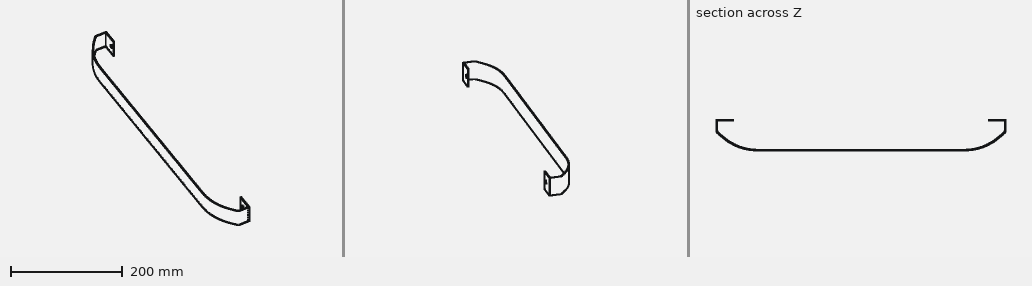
import cadquery as cq
import math

LENGTH = 519.0
DEPTH = 56.0
HEIGHT = 35.0
THICKNESS = 2.0

FLANGE_LENGTH = 30.0
HOLE_DIAMETER = 6.5
HOLE_FROM_FREE_END = 8.0

SHOULDER_RADIUS = 95.0
SHOULDER_ANGLE = math.radians(40.6)
FRONT_BAR_LENGTH = 371.5
CORNER_BEND_RADIUS = 5.0

half_length = LENGTH / 2
half_bar = FRONT_BAR_LENGTH / 2
flange_tip_x = half_length - FLANGE_LENGTH


def half_outline(inset):
    """Points from the flange tip to the front bar on +X, offset inward by inset."""
    radius = SHOULDER_RADIUS - inset
    wall_x = half_length - inset
    front_y = -DEPTH + inset

    def on_shoulder(angle):
        x = half_bar + radius * math.sin(angle)
        y = front_y + radius * (1 - math.cos(angle))
        return (x, y)

    shoulder_start = on_shoulder(SHOULDER_ANGLE)
    shoulder_middle = on_shoulder(SHOULDER_ANGLE / 2)
    corner_y = shoulder_start[1] + (wall_x - shoulder_start[0]) * math.tan(SHOULDER_ANGLE)
    return {
        "flange_tip": (flange_tip_x, -inset),
        "flange_corner": (wall_x, -inset),
        "wall_corner": (wall_x, corner_y),
        "shoulder_start": shoulder_start,
        "shoulder_middle": shoulder_middle,
        "bar_end": (half_bar, front_y),
    }


def mirrored(point):
    return (-point[0], point[1])


def make_strip():
    """Sharp-cornered strip, extruded symmetrically about Z = 0."""
    outer = half_outline(0)
    inner = half_outline(THICKNESS)
    return (
        cq.Workplane("XY")
        .moveTo(*outer["flange_tip"])
        .lineTo(*outer["flange_corner"])
        .lineTo(*outer["wall_corner"])
        .lineTo(*outer["shoulder_start"])
        .threePointArc(outer["shoulder_middle"], outer["bar_end"])
        .lineTo(*mirrored(outer["bar_end"]))
        .threePointArc(mirrored(outer["shoulder_middle"]), mirrored(outer["shoulder_start"]))
        .lineTo(*mirrored(outer["wall_corner"]))
        .lineTo(*mirrored(outer["flange_corner"]))
        .lineTo(*mirrored(outer["flange_tip"]))
        .lineTo(*mirrored(inner["flange_tip"]))
        .lineTo(*mirrored(inner["flange_corner"]))
        .lineTo(*mirrored(inner["wall_corner"]))
        .lineTo(*mirrored(inner["shoulder_start"]))
        .threePointArc(mirrored(inner["shoulder_middle"]), mirrored(inner["bar_end"]))
        .lineTo(*inner["bar_end"])
        .threePointArc(inner["shoulder_middle"], inner["shoulder_start"])
        .lineTo(*inner["wall_corner"])
        .lineTo(*inner["flange_corner"])
        .lineTo(*inner["flange_tip"])
        .close()
        .extrude(HEIGHT / 2, both=True)
    )


def round_wall_corners(strip):
    """Bend each side wall into its shoulder with equal outer and inner radii."""
    for inset in (0, THICKNESS):
        corner = half_outline(inset)["wall_corner"]
        for x, y in (corner, mirrored(corner)):
            edge = strip.edges(cq.selectors.NearestToPointSelector((x, y, 0)))
            strip = edge.fillet(CORNER_BEND_RADIUS)
    return strip


def drill_flanges(strip):
    """One through hole at mid-height in each mounting flange."""
    hole_x = flange_tip_x + HOLE_FROM_FREE_END
    holes = (
        cq.Workplane("XZ")
        .pushPoints([(-hole_x, 0), (hole_x, 0)])
        .circle(HOLE_DIAMETER / 2)
        .extrude(THICKNESS)
    )
    return strip.cut(holes)


result = drill_flanges(round_wall_corners(make_strip()))